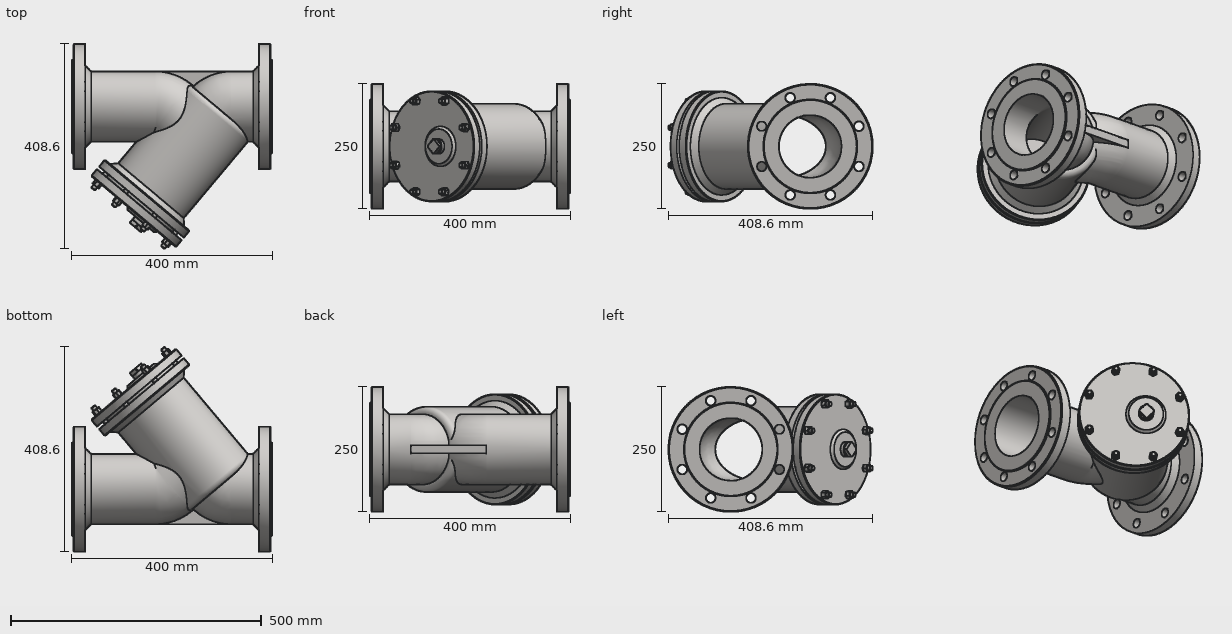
import cadquery as cq
import math

FACE_TO_FACE = 400.0
PIPE_DIA = 141.0
BORE_DIA = 125.0

FLANGE_DIA = 250.0
FLANGE_THICKNESS = 23.7
FLANGE_CHAMFER = 2.0
FACE_DIA = 188.0
FACE_HEIGHT = 3.0
FACE_CHAMFER = 1.5
NECK_TAPER = 12.0
FLANGE_HOLE_DIA = 19.0
FLANGE_HOLE_CIRCLE = 210.0
FLANGE_HOLES = 8
FLANGE_BACK = FACE_TO_FACE / 2 - FACE_HEIGHT - FLANGE_THICKNESS

BEND_RADIUS = 41.5
INLET_BEND_X = -32.5
OUTLET_BEND_X = 118.0
BRANCH_ANGLE = 40.0
INLET_BEND_ANGLE = BRANCH_ANGLE
OUTLET_BEND_ANGLE = 90.0 - BRANCH_ANGLE
WEB_THICKNESS = 16.5

BRANCH_DIA = 171.0
BRANCH_START = -12.5
BRANCH_END_FILLET = 12.3
COVER_DIA = 221.0
COVER_CHAMFER = 1.5
COVER_THICKNESS = 18.0
BRANCH_FLANGE_START = 211.5
BRANCH_FLANGE_END = BRANCH_FLANGE_START + COVER_THICKNESS
BRANCH_TAPER = 12.0
GASKET_DIA = 171.5
GASKET_THICKNESS = 6.5
COVER_START = BRANCH_FLANGE_END + GASKET_THICKNESS
COVER_FACE = COVER_START + COVER_THICKNESS

BOSS_DIA = 80.0
BOSS_HEIGHT = 5.5
BOSS_OFFSET = 23.5
PLUG_NECK_DIA = 30.0
PLUG_NECK_LENGTH = 8.0
PLUG_SQUARE = 22.5
PLUG_HEAD_LENGTH = 8.5

STUDS = 8
STUD_STEP = 360 / STUDS
STUD_CIRCLE = 196.2
STUD_DIA = 10.0
STUD_TIP_DIA = 8.0
STUD_PROJECTION = 17.5
STUD_DEPTH = 12.3
NUT_ACROSS_FLATS = 14.5
NUT_HEIGHT = 10.0

COS_BRANCH = math.cos(math.radians(BRANCH_ANGLE))
SIN_BRANCH = math.sin(math.radians(BRANCH_ANGLE))
ACROSS_BRANCH = cq.Vector(COS_BRANCH, -SIN_BRANCH, 0)
ALONG_BRANCH = cq.Vector(-SIN_BRANCH, -COS_BRANCH, 0)

INLET_ELBOW_END = cq.Vector(
    INLET_BEND_X + BEND_RADIUS * SIN_BRANCH, BEND_RADIUS * (COS_BRANCH - 1), 0
)
OUTLET_ELBOW_END = cq.Vector(
    OUTLET_BEND_X - BEND_RADIUS * COS_BRANCH, BEND_RADIUS * (SIN_BRANCH - 1), 0
)
INLET_RUN = (OUTLET_ELBOW_END - INLET_ELBOW_END).dot(ACROSS_BRANCH)

INNER_END = cq.selectors.DirectionMinMaxSelector(ALONG_BRANCH, False)
OUTER_END = cq.selectors.DirectionMinMaxSelector(ALONG_BRANCH, True)


def branch_plane(distance, offset=0):
    """Plane across the branch axis, moved sideways by offset: its x lies in XY, its y is +Z."""
    origin = OUTLET_ELBOW_END + ALONG_BRANCH * distance + ACROSS_BRANCH * offset
    return cq.Plane(origin, ACROSS_BRANCH, ALONG_BRANCH)


def branch_cylinder(start, end, diameter, offset=0):
    return cq.Workplane(branch_plane(start, offset)).circle(diameter / 2).extrude(end - start)


def branch_cone(start, height, start_dia, end_dia, offset=0):
    origin = branch_plane(start, offset).origin
    return cq.Workplane(cq.Solid.makeCone(start_dia / 2, end_dia / 2, height, origin, ALONG_BRANCH))


def pipe_cylinder(start_x, end_x, diameter):
    return cq.Workplane("YZ", origin=(start_x, 0, 0)).circle(diameter / 2).extrude(end_x - start_x)


def bent_tube(bend_x, turn, diameter):
    """Elbow swept about a vertical axis; only the section outside that axis is turned."""
    radius = diameter / 2
    half_chord = math.sqrt(radius**2 - BEND_RADIUS**2)
    section = (
        cq.Workplane("YZ", origin=(bend_x, 0, 0))
        .moveTo(-BEND_RADIUS, -half_chord)
        .threePointArc((radius, 0), (-BEND_RADIUS, half_chord))
        .close()
    )
    axis_end = (-BEND_RADIUS, math.copysign(1, -turn))
    return section.revolve(abs(turn), (-BEND_RADIUS, 0), axis_end)


def flow_path(diameter, end_x):
    """Both pipe ends, both elbows, the inlet run and the straight run down the branch."""
    inlet_run = (
        cq.Workplane(cq.Plane(INLET_ELBOW_END, (0, 0, 1), ACROSS_BRANCH))
        .circle(diameter / 2)
        .extrude(INLET_RUN)
    )
    branch_run = branch_cylinder(0, BRANCH_FLANGE_END, diameter)
    return (
        pipe_cylinder(-end_x, INLET_BEND_X, diameter)
        .union(bent_tube(INLET_BEND_X, INLET_BEND_ANGLE, diameter))
        .union(inlet_run)
        .union(pipe_cylinder(OUTLET_BEND_X, end_x, diameter))
        .union(bent_tube(OUTLET_BEND_X, -OUTLET_BEND_ANGLE, diameter))
        .union(branch_run)
    )


def pipe_flange(side):
    """Flange with raised face and tapered neck; side is -1 for the -X end and +1 for +X."""
    face = FACE_TO_FACE / 2
    pipe_radius = PIPE_DIA / 2
    flange_radius = FLANGE_DIA / 2
    face_radius = FACE_DIA / 2
    profile = [
        (FLANGE_BACK - NECK_TAPER, 0),
        (FLANGE_BACK - NECK_TAPER, pipe_radius),
        (FLANGE_BACK, pipe_radius + NECK_TAPER),
        (FLANGE_BACK, flange_radius),
        (face - FACE_HEIGHT - FLANGE_CHAMFER, flange_radius),
        (face - FACE_HEIGHT, flange_radius - FLANGE_CHAMFER),
        (face - FACE_HEIGHT, face_radius),
        (face - FACE_CHAMFER, face_radius),
        (face, face_radius - FACE_CHAMFER),
        (face, 0),
    ]
    flange = (
        cq.Workplane("XY")
        .polyline([(side * x, y) for x, y in profile])
        .close()
        .revolve(360, (0, 0), (1, 0))
    )
    holes = (
        cq.Workplane("YZ")
        .polarArray(FLANGE_HOLE_CIRCLE / 2, 180 / FLANGE_HOLES, 360, FLANGE_HOLES)
        .circle(FLANGE_HOLE_DIA / 2)
        .extrude(side * face)
    )
    return flange.cut(holes)


def web():
    """Flat plate that closes the notch between the two elbows."""
    top = PIPE_DIA / 2
    notch_x = (INLET_BEND_X + OUTLET_BEND_X) / 2
    return (
        cq.Workplane("XY", origin=(0, 0, -WEB_THICKNESS / 2))
        .polyline([(INLET_BEND_X, top), (OUTLET_BEND_X, top), (notch_x, 0)])
        .close()
        .extrude(WEB_THICKNESS)
    )


def branch_outside():
    """Barrel with a rounded inner end, a taper and the flange for the cover."""
    barrel = branch_cylinder(BRANCH_START, BRANCH_FLANGE_START, BRANCH_DIA)
    barrel = barrel.edges(INNER_END).fillet(BRANCH_END_FILLET)
    taper = branch_cone(
        BRANCH_FLANGE_START - BRANCH_TAPER, BRANCH_TAPER, BRANCH_DIA, BRANCH_DIA + 2 * BRANCH_TAPER
    )
    flange = branch_cylinder(BRANCH_FLANGE_START, BRANCH_FLANGE_END, COVER_DIA)
    flange = flange.edges(INNER_END).chamfer(COVER_CHAMFER)
    return barrel.union(taper).union(flange)


def cover():
    """Gasket disc, cover plate, tapered boss and square-headed plug."""
    gasket = branch_cylinder(BRANCH_FLANGE_END, COVER_START, GASKET_DIA)
    plate = branch_cylinder(COVER_START, COVER_FACE, COVER_DIA)
    plate = plate.edges(OUTER_END).chamfer(COVER_CHAMFER)
    boss = branch_cone(COVER_FACE, BOSS_HEIGHT, BOSS_DIA, BOSS_DIA - 2 * BOSS_HEIGHT, BOSS_OFFSET)
    boss_face = COVER_FACE + BOSS_HEIGHT
    neck_end = boss_face + PLUG_NECK_LENGTH
    head_end = neck_end + PLUG_HEAD_LENGTH
    neck = branch_cylinder(boss_face, neck_end, PLUG_NECK_DIA, BOSS_OFFSET)
    head = (
        cq.Workplane(branch_plane(neck_end, BOSS_OFFSET))
        .transformed(rotate=(0, 0, 45))
        .rect(PLUG_SQUARE, PLUG_SQUARE)
        .extrude(PLUG_HEAD_LENGTH)
        .intersect(branch_cylinder(neck_end, head_end, PLUG_NECK_DIA, BOSS_OFFSET))
    )
    return gasket.union(plate).union(boss).union(neck).union(head)


def stud_place(index):
    """Position of one stud on the stud circle, in the plane across the branch."""
    angle = math.radians(STUD_STEP * (index + 0.5))
    return STUD_CIRCLE / 2 * math.cos(angle), STUD_CIRCLE / 2 * math.sin(angle)


def stud_rod(index):
    """Plain stud with a chamfered outer end."""
    tip = COVER_FACE + STUD_PROJECTION
    bottom = BRANCH_FLANGE_END - STUD_DEPTH
    return (
        cq.Workplane(branch_plane(bottom))
        .center(*stud_place(index))
        .circle(STUD_DIA / 2)
        .extrude(tip - bottom)
        .edges(OUTER_END)
        .chamfer((STUD_DIA - STUD_TIP_DIA) / 2)
    )


def stud_with_nut(index):
    """Stud and its hexagon nut as one solid; the nut turns with its place on the circle."""
    nut = (
        cq.Workplane(branch_plane(COVER_FACE))
        .center(*stud_place(index))
        .transformed(rotate=(0, 0, STUD_STEP * (index + 1)))
        .polygon(6, NUT_ACROSS_FLATS / math.cos(math.pi / 6))
        .extrude(NUT_HEIGHT)
    )
    return stud_rod(index).union(nut)


def strainer_body():
    """Pipe, flanges, branch and cover in one solid, bored through and holed for the studs."""
    body = flow_path(PIPE_DIA, FLANGE_BACK)
    body = body.union(web()).union(branch_outside())
    body = body.union(pipe_flange(-1)).union(pipe_flange(1)).union(cover())
    body = body.cut(flow_path(BORE_DIA, FACE_TO_FACE / 2))
    for index in range(STUDS):
        body = body.cut(stud_rod(index))
    return body


body = strainer_body()
studs = [stud_with_nut(index) for index in range(STUDS)]

result = cq.Compound.makeCompound([body.val(), *[stud.val() for stud in studs]])